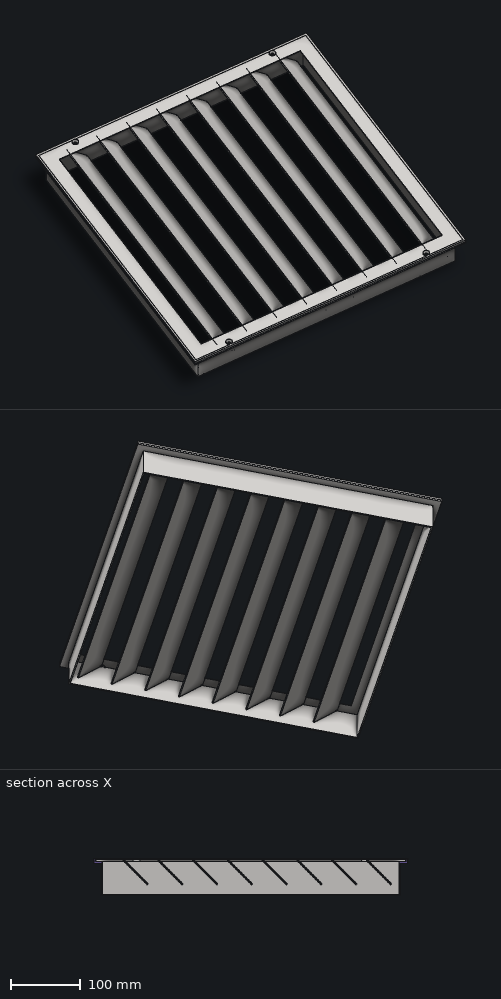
import cadquery as cq

flange_width = 452.0
total_height = 52.0

opening_width = 402.0
plate_thickness = 1.0
rim_width = 3.3
cover_height = 4.0
cover_bottom = total_height - cover_height
plate_bottom = total_height - plate_thickness

sleeve_width = 430.0
wall_thickness = 2.0
sleeve_inner = sleeve_width - 2 * wall_thickness
louvre_flange_thickness = 3.0
louvre_top = cover_bottom

blade_count = 8
blade_pitch = 50.0
blade_depth = 49.0
blade_thickness = 2.0
blade_slope = 45.0
first_blade_y = -165.5
blade_centre_z = 32.5

hole_x = 218.0
hole_y = 164.5
hole_diameter = 3.5
countersink_diameter = 9.0
countersink_angle = 90.0
seat_diameter = 10.0


def square_ring(outer, inner, bottom, height):
    """Square ring centred on the Z axis."""
    return cq.Workplane("XY", origin=(0, 0, bottom)).rect(outer, outer).rect(inner, inner).extrude(height)


def make_cover():
    cover = square_ring(flange_width, opening_width, plate_bottom, plate_thickness)
    rim = square_ring(flange_width, flange_width - 2 * rim_width, cover_bottom, cover_height)
    seats = (
        cq.Workplane("XY", origin=(0, 0, cover_bottom))
        .rect(2 * hole_x, 2 * hole_y, forConstruction=True)
        .vertices()
        .circle(seat_diameter / 2)
        .extrude(cover_height)
    )
    return (
        cover.union(rim)
        .union(seats)
        .copyWorkplane(cq.Workplane("XY", origin=(0, 0, total_height)))
        .rect(2 * hole_x, 2 * hole_y, forConstruction=True)
        .vertices()
        .cskHole(hole_diameter, countersink_diameter, countersink_angle)
    )


def make_blade(y):
    """Blade between the side walls, with its -Y edge raised."""
    blade = cq.Workplane("XY").box(sleeve_inner, blade_depth, blade_thickness)
    return blade.rotate((0, 0, 0), (1, 0, 0), -blade_slope).translate((0, y, blade_centre_z))


def make_louvre():
    louvre = square_ring(sleeve_width, sleeve_inner, 0, louvre_top)
    flange_bottom = louvre_top - louvre_flange_thickness
    flange = square_ring(flange_width, sleeve_inner, flange_bottom, louvre_flange_thickness)
    louvre = louvre.union(flange)
    for index in range(blade_count):
        louvre = louvre.union(make_blade(first_blade_y + index * blade_pitch))
    return louvre


cover = make_cover()
louvre = make_louvre()
result = cq.Compound.makeCompound([cover.val(), louvre.val()])